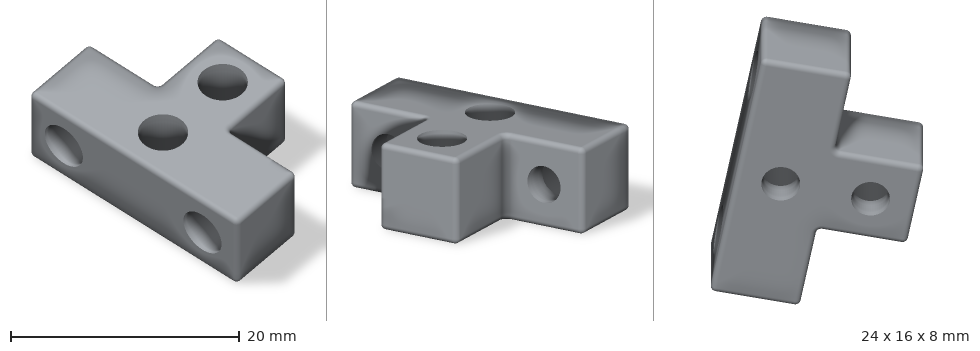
import cadquery as cq

UNIT = 8.0
ARM_COUNT = 3
EDGE_RADIUS = 0.5
WIDE_BORE_DIA = 4.4
NARROW_BORE_DIA = 3.4
WIDE_BORE_DEPTH = 5.0

bar_length = ARM_COUNT * UNIT
half_unit = UNIT / 2
side_hole_offset = bar_length / 2 - half_unit


def tee_body():
    """Crossbar along X with a one-module stem towards +Y, all edges rounded."""
    bar = cq.Workplane("XY").box(bar_length, UNIT, UNIT)
    stem = cq.Workplane("XY").box(UNIT, UNIT, UNIT).translate((0, UNIT, 0))
    return bar.union(stem).edges().fillet(EDGE_RADIUS)


def stepped_hole(mouth_centre, direction):
    """Wide bore, conical shoulder and narrow bore, revolved about the hole axis."""
    wide_radius = WIDE_BORE_DIA / 2
    narrow_radius = NARROW_BORE_DIA / 2
    shoulder_length = wide_radius - narrow_radius
    profile = [
        (0, 0),
        (wide_radius, 0),
        (wide_radius, WIDE_BORE_DEPTH),
        (narrow_radius, WIDE_BORE_DEPTH + shoulder_length),
        (narrow_radius, UNIT),
        (0, UNIT),
    ]
    radial = cq.Vector(1, 0, 0)
    normal = radial.cross(cq.Vector(*direction))
    axis_plane = cq.Plane(origin=mouth_centre, xDir=radial, normal=normal)
    return cq.Workplane(axis_plane).polyline(profile).close().revolve(360, (0, 0), (0, 1))


result = tee_body()

for y in (0, UNIT):
    result = result.cut(stepped_hole((0, y, half_unit), (0, 0, -1)))

for x in (-side_hole_offset, side_hole_offset):
    result = result.cut(stepped_hole((x, -half_unit, 0), (0, 1, 0)))